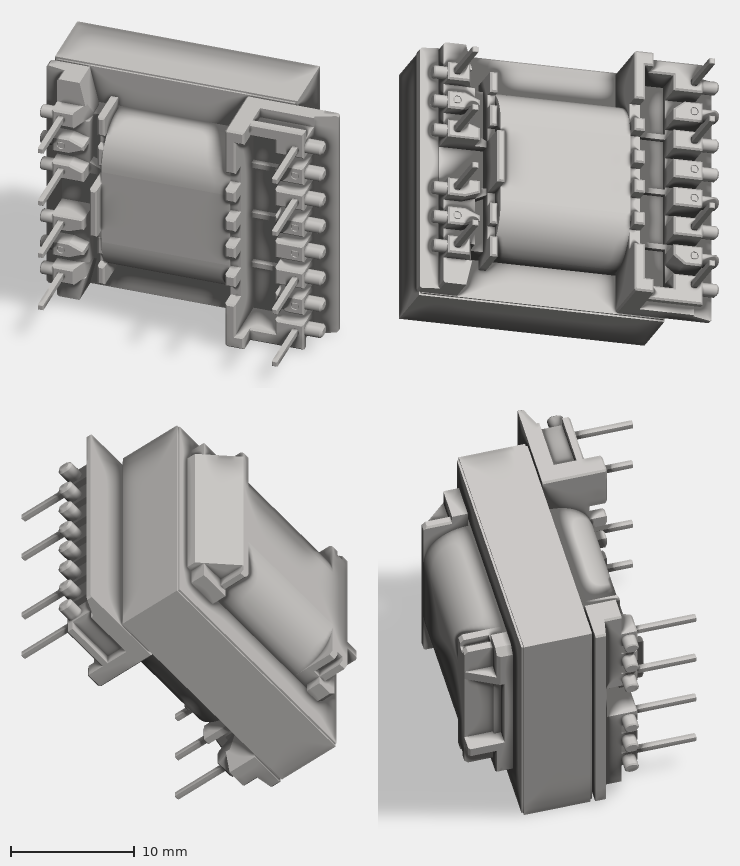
import cadquery as cq

core_half_length = 10.21
core_half_height = 10.4
core_half_depth = 2.95
leg_width = 3.32
centre_leg_half = 2.97
tape_thickness = 0.15
tape_half_depth = 2.78
window_half_length = core_half_length - leg_width
window_half_height = core_half_height - leg_width

winding_left = -4.83
winding_right = 6.12
winding_half_height = 6.92
winding_front = -7.31
winding_back = 6.82
winding_radius = 3.57
tube_half = 3.4
bore_half = 3.1

flange_half_length = 6.77
flange_half_height = 6.95
back_start = 3.12
tab_back = 4.44
back_end = 6.82
back_half_height = 7.73
back_corner_chamfer = 0.3
front_end = -8.53
rail_start = -3.12
edge_chamfer = 0.15
rail_corner_chamfer = 0.15

pin_pitch = 2.5
pin_width = 0.47
pin_tip = -12.1
pin_tip_chamfer = 0.05
pin_hole_radius = 0.35
pin_hole_depth = 0.12
stub_width = 1.0
block_front = -7.05

left_rail_half_height = 10.4
left_foot_x = -10.65
left_foot_front = -4.0
left_foot_root = -4.26
left_rail_x = -9.17
left_rail_end_x = -7.26
left_rail_inner_x = -6.47
left_rail_bevel_z = 7.05
left_floor = -5.7
left_floor_slope_x = -7.7
left_floor_inner = -5.53
channel_floor = -4.49
channel_half_height = 1.78
left_plate_x = -5.45
left_pin_x = -8.4
left_block_half = 0.75
left_stub_length = 1.12
left_stub_y = -6.27
left_stub_height = 1.2
left_stub_chamfer = 0.1
end_block_flat_x = -7.39
ridge_front = -5.45
ridge_corner_z = 2.8
ridge_end_z = 2.33
taper_tip_half = 0.22

plate_half_height = 7.98
plate_short_end = -6.57
plate_middle_half = 2.23
plate_segments = [(3.35, 5.13, plate_short_end), (6.25, plate_half_height, plate_short_end)]

right_rail_half_height = 10.39
right_foot_x = 14.13
right_foot_front = -3.55
right_foot_root = -4.26
right_rail_x = 12.35
right_flange_x = 7.02
right_cap_x = 7.75
right_block_x = 9.9
right_cap_z = 9.22
right_slot_floor = -7.05
right_pin_x = 11.6
right_stub_length = 1.46
right_stub_y = -6.15
right_stub_height = 1.36
right_stub_chamfer = 0.2
pocket_floor = -3.97
pocket_ranges = [(0.22, 4.54), (4.98, right_cap_z)]
finger_overlap = 0.5
right_segments = [(0.72, 1.83), (3.52, 4.6), (6.27, right_cap_z + finger_overlap)]
right_block_ranges = [(0.42, 2.0), (2.95, 4.54), (5.4, 7.07), (7.95, right_rail_half_height)]
corner_cut_block = 2
corner_cut_length = 0.95
corner_cut_height = 0.72
recess_floor_z = 9.52
recess_front = -6.4

left_tab_x = -8.13
left_tab_inner_x = -6.15
left_groove_half_height = 6.2
left_tab_half_height = 7.75
left_tab_chamfer = 0.6
gusset_inner_z = 3.67
gusset_outer_z = 4.54
gusset_ramp_start = 4.16
gusset_tip_chamfer = 0.17
centre_recess_start = 3.82
centre_recess_floor_x = -7.02
right_tab_x = 8.92
right_tab_half_height = 8.45
wedge_x = 9.45
wedge_start = 3.92


def box(x_range, y_range, z_range):
    sizes = [high - low for low, high in (x_range, y_range, z_range)]
    corner = (x_range[0], y_range[0], z_range[0])
    return cq.Workplane("XY").box(*sizes, centered=False).translate(corner)


def prism_along_z(points, z_low, z_high):
    return cq.Workplane("XY").workplane(offset=z_low).polyline(points).close().extrude(z_high - z_low)


def prism_along_y(points, y_low, y_high):
    base = cq.Workplane("XZ", origin=(0, y_high, 0))
    return base.polyline(points).close().extrude(y_high - y_low)


def mirrored(shape):
    """The shape together with its mirror image below Z = 0."""
    return shape.union(shape.mirror("XY"))


def bevelled(shape):
    """Chamfer the edges around the front (-Y) face."""
    return shape.faces("<Y").chamfer(edge_chamfer)


def make_core_half():
    """E-shaped half of the core on the +X side of the parting plane."""
    depth = (-core_half_depth, core_half_depth)
    half = box((0, core_half_length), depth, (-core_half_height, core_half_height))
    window = box((0, window_half_length), depth, (centre_leg_half, window_half_height))
    return half.cut(mirrored(window))


def make_tape():
    """Band wrapped around the outside of both core halves."""
    depth = 2 * tape_half_depth
    length = 2 * core_half_length
    height = 2 * core_half_height
    inner = cq.Workplane("XY").box(length, depth, height)
    outer = cq.Workplane("XY").box(length + 2 * tape_thickness, depth, height + 2 * tape_thickness)
    return outer.cut(inner)


def make_winding():
    x_range = (winding_left, winding_right)
    height = (-winding_half_height, winding_half_height)
    coil = box(x_range, (winding_front, winding_back), height).edges("|X").fillet(winding_radius)
    return coil.cut(box(x_range, (-tube_half, tube_half), (-tube_half, tube_half)))


def make_tube_and_flanges():
    """Square tube with the two flange walls that stand inside the core windows."""
    height = (-flange_half_height, flange_half_height)
    tube = box((winding_left, winding_right), (-tube_half, tube_half), (-tube_half, tube_half))
    left = box((-flange_half_length, winding_left), (channel_floor, back_start), height)
    right = box((winding_right, flange_half_length), (channel_floor, back_start), height)
    return tube.union(left).union(right)


def make_left_back():
    """Back rim, tab and gussets of the left flange."""
    rim_height = (-flange_half_height, flange_half_height)
    rim = box((-flange_half_length, winding_left), (back_start, back_end), rim_height)
    rim = rim.faces(">Y").edges("|X").chamfer(back_corner_chamfer)
    groove_x = (left_tab_inner_x, left_plate_x)
    groove = box(groove_x, (tab_back, back_end), (left_groove_half_height, flange_half_height))
    rim = rim.cut(mirrored(groove))
    tab_height = (-left_tab_half_height, left_tab_half_height)
    tab = box((left_tab_x, left_tab_inner_x), (back_start, tab_back), tab_height)
    tab = tab.edges("|Y and <X").chamfer(left_tab_chamfer)
    ramp_face = [(left_tab_x, gusset_ramp_start), (left_tab_x, back_end), (-flange_half_length, back_end)]
    tab = tab.cut(prism_along_z(ramp_face, gusset_inner_z, left_tab_half_height))
    ramp = [
        (left_tab_x, back_start),
        (left_tab_x, gusset_ramp_start),
        (-flange_half_length, back_end),
        (-flange_half_length, back_start),
    ]
    ramp_gusset = prism_along_z(ramp, gusset_inner_z, gusset_outer_z)
    gusset_height = (-gusset_outer_z, -gusset_inner_z)
    square_gusset = box((left_tab_x, -flange_half_length), (back_start, back_end), gusset_height)
    square_gusset = square_gusset.edges("|Z and <X and >Y").chamfer(gusset_tip_chamfer)
    recess_x = (left_tab_x, centre_recess_floor_x)
    recess = box(recess_x, (centre_recess_start, tab_back), (-gusset_inner_z, gusset_inner_z))
    return rim.union(tab.cut(recess)).union(ramp_gusset).union(square_gusset)


def make_right_back():
    """Back rim, tab and wedge of the right flange."""
    rim_height = (-back_half_height, back_half_height)
    rim = box((winding_right, flange_half_length), (back_start, back_end), rim_height)
    rim = rim.faces(">Y").edges("|X").chamfer(back_corner_chamfer)
    rim = rim.edges("|Y and <X").chamfer(edge_chamfer)
    tab_height = (-right_tab_half_height, right_tab_half_height)
    tab = box((winding_right, right_tab_x), (back_start, tab_back), tab_height)
    wedge = [
        (flange_half_length, back_start),
        (wedge_x, back_start),
        (wedge_x, wedge_start),
        (flange_half_length, back_end),
    ]
    return rim.union(tab).union(prism_along_z(wedge, -flange_half_height, flange_half_height))


def make_left_plate():
    """Thin front plate beside the winding, slotted into separate fingers."""
    x_range = (left_plate_x, winding_left)
    plate = mirrored(box(x_range, (left_floor, rail_start), (0, plate_half_height)))
    middle = box(x_range, (front_end, left_floor), (-plate_middle_half, plate_middle_half))
    plate = plate.union(bevelled(middle))
    for z_low, z_high, end in plate_segments:
        plate = plate.union(mirrored(bevelled(box(x_range, (end, left_floor), (z_low, z_high)))))
    return plate


def left_pin_blocks():
    """The three pin blocks above Z = 0, from the middle of the rail outwards."""
    inner_z, middle_z, outer_z = [pin_pitch * count for count in (1, 2, 3)]
    half = left_block_half
    inner = [
        (left_rail_x, inner_z - half),
        (left_rail_x, inner_z + half),
        (left_floor_slope_x, inner_z + half),
        (left_rail_inner_x, ridge_corner_z),
        (left_rail_inner_x, inner_z - half),
    ]
    middle = [
        (left_rail_x, middle_z - half),
        (left_rail_x, middle_z + half),
        (left_floor_slope_x, middle_z + half),
        (left_rail_inner_x, middle_z + taper_tip_half),
        (left_rail_inner_x, middle_z - taper_tip_half),
        (left_floor_slope_x, middle_z - half),
    ]
    blocks = bevelled(prism_along_y(inner, block_front, channel_floor))
    blocks = blocks.union(bevelled(prism_along_y(middle, block_front, channel_floor)))
    outer_range = (outer_z - half, outer_z + half)
    outer = box((left_rail_x, left_rail_inner_x), (block_front, channel_floor), outer_range)
    return blocks.union(bevelled(outer))


def make_left_rail():
    """Terminal rail on the -X side: sloped foot, channel, ridges and six pin blocks."""
    height = left_rail_half_height
    plan = [
        (left_rail_x, -height),
        (left_rail_end_x, -height),
        (left_rail_inner_x, -left_rail_bevel_z),
        (left_rail_inner_x, left_rail_bevel_z),
        (left_rail_end_x, height),
        (left_rail_x, height),
    ]
    rail = prism_along_y(plan, left_floor, rail_start)
    rail = rail.edges("|Y and <X").chamfer(rail_corner_chamfer)
    floor_slope = [
        (left_floor_slope_x, left_floor),
        (left_rail_inner_x, left_floor),
        (left_rail_inner_x, left_floor_inner),
    ]
    slope_half_height = 3 * pin_pitch - left_block_half
    rail = rail.cut(prism_along_z(floor_slope, -slope_half_height, slope_half_height))
    rail = rail.union(mirrored(left_pin_blocks()).intersect(prism_along_y(plan, block_front, rail_start)))
    ramp = [
        (end_block_flat_x, block_front),
        (left_rail_inner_x, block_front),
        (left_rail_inner_x, channel_floor),
    ]
    outer_z = 3 * pin_pitch
    ramp_cut = prism_along_z(ramp, outer_z - left_block_half, outer_z + left_block_half)
    rail = rail.cut(mirrored(ramp_cut))
    channel_x = (left_rail_x, left_rail_inner_x)
    channel_z = (-channel_half_height, channel_half_height)
    rail = rail.cut(box(channel_x, (block_front, channel_floor), channel_z))

    foot = [
        (left_foot_x, rail_start),
        (left_foot_x, left_foot_front),
        (left_rail_x, left_foot_root),
        (left_rail_end_x, left_foot_root),
        (left_rail_end_x, rail_start),
    ]
    rail = rail.union(prism_along_z(foot, -height, height).edges("|Y and <X").chamfer(edge_chamfer))
    link_z = (-flange_half_height, flange_half_height)
    rail = rail.union(box((left_rail_inner_x, left_plate_x), (channel_floor, rail_start), link_z))
    ridge = [
        (left_rail_inner_x, channel_half_height),
        (left_plate_x, channel_half_height),
        (left_plate_x, ridge_end_z),
        (left_rail_inner_x, ridge_corner_z),
    ]
    return rail.union(mirrored(prism_along_y(ridge, ridge_front, rail_start)))


def right_pin_blocks():
    """The four pin blocks above Z = 0; the third has a cut corner."""
    blocks = cq.Workplane("XY")
    for number, (z_low, z_high) in enumerate(right_block_ranges):
        block = [
            (right_block_x, z_low),
            (right_rail_x, z_low),
            (right_rail_x, z_high),
            (right_block_x, z_high),
        ]
        if number == corner_cut_block:
            block[3:] = [
                (right_block_x + corner_cut_length, z_high),
                (right_block_x, z_high - corner_cut_height),
            ]
        blocks = blocks.add(bevelled(prism_along_y(block, block_front, channel_floor)))
    return blocks.combine()


def make_right_end_cap():
    """Upper end wall of the right rail and the deeper corner beside the winding."""
    z_range = (right_cap_z, right_rail_half_height)
    depth = (block_front, rail_start)
    cap = box((winding_right, right_rail_x), depth, z_range)
    cap = bevelled(cap.edges("|Y and >Z").chamfer(rail_corner_chamfer))
    corner = box((winding_right, right_cap_x), (front_end, rail_start), z_range)
    corner = bevelled(corner.edges("|Y and >Z and <X").chamfer(rail_corner_chamfer))
    return cap.union(corner)


def make_right_rail():
    """Terminal rail on the +X side: slotted flange, pockets, foot and eight pin blocks."""
    height = right_rail_half_height
    profile = [
        (winding_right, rail_start),
        (winding_right, channel_floor),
        (right_rail_x, channel_floor),
        (right_rail_x, right_foot_root),
        (right_foot_x, right_foot_front),
        (right_foot_x, rail_start),
    ]
    rail = prism_along_z(profile, -height, height)
    rail = rail.edges("|Y and <X").chamfer(rail_corner_chamfer)
    rail = rail.edges("|Y and >X").chamfer(edge_chamfer)
    for z_low, z_high in pocket_ranges:
        pocket = box((right_flange_x, right_block_x), (channel_floor, pocket_floor), (z_low, z_high))
        rail = rail.cut(mirrored(pocket))
    flange_x = (winding_right, right_flange_x)
    rail = rail.union(box(flange_x, (right_slot_floor, rail_start), (-right_cap_z, right_cap_z)))
    for z_range in right_segments:
        finger = bevelled(box(flange_x, (front_end, channel_floor), z_range))
        rail = rail.union(mirrored(finger))
    rail = rail.union(mirrored(right_pin_blocks())).union(mirrored(make_right_end_cap()))
    recess = box((right_cap_x, right_rail_x), (recess_front, channel_floor), (recess_floor_z, height))
    return rail.cut(mirrored(recess))


def make_stub(x_start, y, z, length, height, tip_chamfer):
    """Oblong wire stub along X; a negative length points to -X."""
    profile = cq.Workplane("YZ", origin=(x_start, y, z)).slot2D(height, stub_width)
    stub = profile.extrude(length)
    return stub.faces(">X" if length > 0 else "<X").chamfer(tip_chamfer)


def fit_pin(bobbin, x, z, tip):
    """Sink a round hole into a pin block and stand a square pin in it."""
    mouth = cq.Workplane("XZ", origin=(x, block_front, z))
    hole = mouth.circle(pin_hole_radius).extrude(-pin_hole_depth)
    pin_range = (tip, block_front + pin_hole_depth)
    half = pin_width / 2
    pin = box((x - half, x + half), pin_range, (z - half, z + half))
    if tip < block_front:
        pin = pin.faces("<Y").chamfer(pin_tip_chamfer)
    return bobbin.cut(hole).union(pin)


def make_bobbin():
    bobbin = make_tube_and_flanges().union(make_left_back()).union(make_right_back())
    bobbin = bobbin.union(make_left_plate()).union(make_left_rail()).union(make_right_rail())
    bore_range = (-bore_half, bore_half)
    bobbin = bobbin.cut(box((-flange_half_length, flange_half_length), bore_range, bore_range))

    for side in (-1, 1):
        for count in (1, 2, 3):
            z = side * count * pin_pitch
            stub = make_stub(
                left_rail_x, left_stub_y, z, -left_stub_length, left_stub_height, left_stub_chamfer
            )
            tip = pin_tip if count % 2 == 1 else block_front
            bobbin = fit_pin(bobbin.union(stub), left_pin_x, z, tip)

        for count in (1, 2, 3, 4):
            z = side * (count - 0.5) * pin_pitch
            stub = make_stub(
                right_rail_x, right_stub_y, z, right_stub_length, right_stub_height, right_stub_chamfer
            )
            tip = pin_tip if count % 2 == 0 else block_front
            bobbin = fit_pin(bobbin.union(stub), right_pin_x, z, tip)
    return bobbin


right_core = make_core_half()
left_core = right_core.mirror("YZ")
tape = make_tape()
winding = make_winding()
bobbin = make_bobbin()

bodies = [right_core, left_core, tape, winding, bobbin]
result = cq.Compound.makeCompound([body.solids().val() for body in bodies])